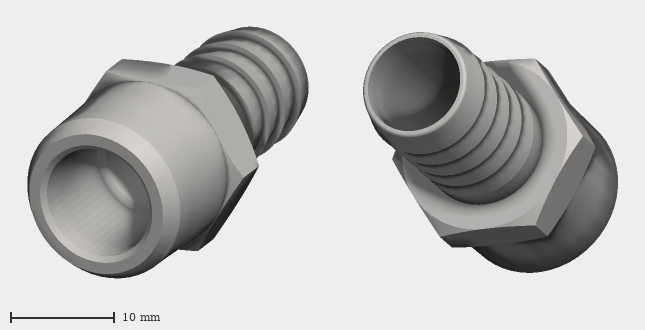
import cadquery as cq
import math

total_length = 36.0

plug_length = 11.52
plug_base_radius = 8.45
plug_end_radius = 8.2
plug_chamfer_length = 1.7
plug_face_radius = 7.15

hex_length = 4.95
hex_flats = 17.0
hex_corners = hex_flats / math.cos(math.radians(30))
hex_chamfer_angle = 30.0

collar_length = 2.6
collar_radius = 6.0
barb_count = 5
barb_root_radius = 5.3
tip_fillet = 0.35

wide_bore_radius = 5.5
narrow_bore_radius = 4.75
bore_mouth_radius = collar_radius
bore_mouth_depth = bore_mouth_radius - wide_bore_radius
wide_bore_depth = plug_length
bore_step_angle = 30.0
bore_step_length = (wide_bore_radius - narrow_bore_radius) * math.tan(math.radians(bore_step_angle))

hex_end = plug_length + hex_length
collar_end = hex_end + collar_length
barb_pitch = (total_length - collar_end) / barb_count


def revolve_profile(points):
    """Turn a closed (radius, y) outline about the Y axis."""
    return cq.Workplane("XY").polyline(points).close().revolve(360, (0, 0, 0), (0, 1, 0))


def make_plug():
    return revolve_profile([
        (0, 0),
        (plug_face_radius, 0),
        (plug_end_radius, plug_chamfer_length),
        (plug_base_radius, plug_length),
        (0, plug_length),
    ])


def make_hexagon():
    prism = (
        cq.Workplane("XZ", origin=(0, plug_length, 0))
        .polygon(6, hex_corners)
        .extrude(-hex_length)
    )
    face_radius = hex_flats / 2
    corner_radius = hex_corners / 2
    bevel = (corner_radius - face_radius) * math.tan(math.radians(hex_chamfer_angle))
    envelope = revolve_profile([
        (0, plug_length),
        (face_radius, plug_length),
        (corner_radius, plug_length + bevel),
        (corner_radius, hex_end - bevel),
        (face_radius, hex_end),
        (0, hex_end),
    ])
    return prism.intersect(envelope)


def make_tail():
    points = [(0, hex_end), (collar_radius, hex_end)]
    for i in range(barb_count):
        start = collar_end + i * barb_pitch
        points.append((collar_radius, start))
        points.append((barb_root_radius, start + barb_pitch))
    points.append((0, total_length))
    return revolve_profile(points).faces(">Y").edges().fillet(tip_fillet)


def make_bore():
    return revolve_profile([
        (0, 0),
        (bore_mouth_radius, 0),
        (wide_bore_radius, bore_mouth_depth),
        (wide_bore_radius, wide_bore_depth),
        (narrow_bore_radius, wide_bore_depth + bore_step_length),
        (narrow_bore_radius, total_length),
        (0, total_length),
    ])


result = make_plug().union(make_hexagon()).union(make_tail()).cut(make_bore())